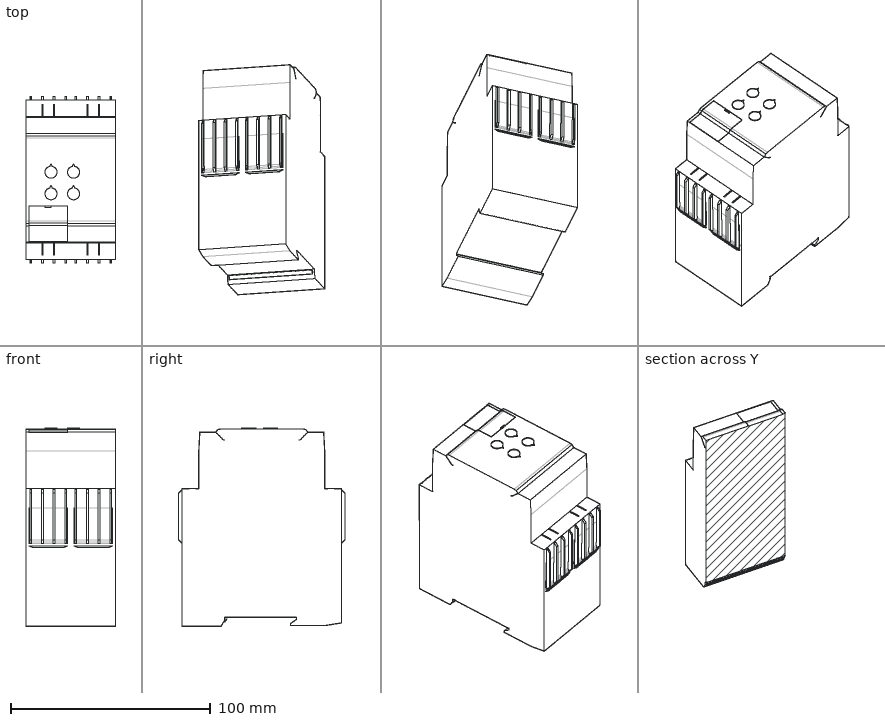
import cadquery as cq

width = 45.0
half_width = width / 2
base_half_depth = 40.0
shoulder_z = 69.0

upper_half_depth = 31.6
upper_top_half_depth = 31.1
draft_z = 88.0
upper_top_z = 97.4

cap_top_z = 99.0
cap_flat_half_depth = 20.8
cap_bevel_half_depth = 22.0
cap_bevel_z = 98.7
cap_base_half_depth = 23.2

rail_z = 4.5
latch_foot_z = 0.35
latch_heel_z = 1.7
latch_heel_y = 31.7
latch_tip_y = 14.35
latch_tip_z = 1.4
latch_root_y = 17.3
latch_root_z = 3.5
fixed_wall_y = -18.65
fixed_wall_z = 3.0
fixed_foot_y = -20.35
hook_tip_y = -17.3
hook_top_z = 3.8
hook_bottom_z = 2.1
hook_side_inset = 1.0

block_center_x = 11.3
outer_rib_offset = 8.8
inner_rib_offset = 2.9
outer_rib_width = 0.8
inner_rib_width = 1.1
rib_tip_depth = 83.56 / 2
rib_root_top_z = 68.6
rib_tip_top_z = 66.8
rib_tip_bottom_z = 43.4
rib_root_bottom_z = 41.6

recess_width = 19.4
recess_top_z = 59.3
recess_depth = 0.3
recess_step_depth = 0.15
recess_step_z = 42.4

groove_top_width = 19.4
groove_bottom_width = 15.6
groove_top_z = 40.4
groove_bottom_z = 39.5
groove_depth = 0.3

fin_outer_depth = 37.6
fin_width = 0.5
fin_height = 0.2

cover_left_x = -21.0
cover_right_x = -1.7
cover_back_y = -13.1
cover_front_y = -30.9
cover_depth = 0.2
notch_center_x = (cover_left_x + cover_right_x) / 2
notch_width = 3.0
notch_length = 0.8
notch_depth = 0.5

dial_radius = 3.0
dial_height = 0.4
dial_spacing_x = 11.3
dial_spacing_y = 10.85
dial_columns = 2
dial_rows = 2
dial_first_x = -9.9
dial_first_y = -7.05
pointer_reach = 4.2
pointer_half_width = 0.6

seam_drop = 4.0
seam_width = 0.12
seam_depth = 0.1
seam_tail = 0.6

overlap = 0.5
sides = (-1, 1)


def extrude_along_x(points, x_start, length):
    """Extrude a closed (y, z) outline along +X from x_start."""
    plane = cq.Workplane("YZ", origin=(x_start, 0, 0))
    return plane.polyline(points).close().extrude(length)


def upper_outline(side):
    """Shoulder-to-cap corner points of one long side, from the bottom up."""
    return [
        (side * base_half_depth, shoulder_z),
        (side * upper_half_depth, shoulder_z),
        (side * upper_half_depth, draft_z),
        (side * upper_top_half_depth, upper_top_z),
        (side * cap_base_half_depth, upper_top_z),
        (side * cap_bevel_half_depth, cap_bevel_z),
        (side * cap_flat_half_depth, cap_top_z),
    ]


def make_housing():
    underside = [
        (base_half_depth, latch_heel_z),
        (latch_heel_y, latch_foot_z),
        (latch_tip_y, latch_foot_z),
        (latch_tip_y, latch_tip_z),
        (latch_root_y, latch_root_z),
        (latch_root_y, rail_z),
        (fixed_wall_y, rail_z),
        (fixed_wall_y, fixed_wall_z),
        (fixed_foot_y, 0),
        (-base_half_depth, 0),
    ]
    outline = underside + upper_outline(-1) + upper_outline(1)[::-1]
    return extrude_along_x(outline, -half_width, width)


def make_rail_hook():
    outline = [
        (hook_tip_y, hook_top_z),
        (fixed_wall_y - overlap, hook_top_z),
        (fixed_wall_y - overlap, hook_bottom_z),
        (fixed_wall_y, hook_bottom_z),
    ]
    return extrude_along_x(outline, -half_width + hook_side_inset, width - 2 * hook_side_inset)


def make_rib(side, center_x, rib_width):
    root = base_half_depth - recess_depth - overlap
    outline = [
        (side * root, rib_root_top_z),
        (side * base_half_depth, rib_root_top_z),
        (side * rib_tip_depth, rib_tip_top_z),
        (side * rib_tip_depth, rib_tip_bottom_z),
        (side * base_half_depth, rib_root_bottom_z),
        (side * root, rib_root_bottom_z),
    ]
    return extrude_along_x(outline, center_x - rib_width / 2, rib_width)


def make_block_recess(side, center_x):
    floor = base_half_depth - recess_depth
    outline = [
        (side * base_half_depth, recess_top_z),
        (side * floor, rib_tip_bottom_z),
        (side * (base_half_depth - recess_step_depth), recess_step_z),
        (side * base_half_depth, rib_root_bottom_z),
    ]
    return extrude_along_x(outline, center_x - recess_width / 2, recess_width)


def make_block_groove(side, center_x):
    outline = [
        (center_x - groove_top_width / 2, groove_top_z),
        (center_x + groove_top_width / 2, groove_top_z),
        (center_x + groove_bottom_width / 2, groove_bottom_z),
        (center_x - groove_bottom_width / 2, groove_bottom_z),
    ]
    plane = cq.Workplane("XZ", origin=(0, side * base_half_depth, 0))
    return plane.polyline(outline).close().extrude(side * groove_depth)


def make_fin(side, center_x):
    middle = (upper_half_depth + fin_outer_depth) / 2
    plane = cq.Workplane("YZ", origin=(center_x - fin_width / 2, 0, 0))
    return (
        plane.moveTo(side * upper_half_depth, shoulder_z - overlap)
        .lineTo(side * upper_half_depth, shoulder_z)
        .threePointArc((side * middle, shoulder_z + fin_height), (side * fin_outer_depth, shoulder_z))
        .lineTo(side * fin_outer_depth, shoulder_z - overlap)
        .close()
        .extrude(fin_width)
    )


def make_cover_recess():
    """A layer of even thickness below the cap, its bevel and the front ledge."""
    surface = [
        (cover_back_y, cap_top_z),
        (-cap_flat_half_depth, cap_top_z),
        (-cap_bevel_half_depth, cap_bevel_z),
        (-cap_base_half_depth, upper_top_z),
        (cover_front_y, upper_top_z),
    ]
    floor = [
        (cover_back_y, cap_top_z - cover_depth),
        (-cap_flat_half_depth + cover_depth, cap_top_z - cover_depth),
        (-cap_bevel_half_depth + cover_depth, cap_bevel_z - cover_depth),
        (-cap_base_half_depth + cover_depth, upper_top_z - cover_depth),
        (cover_front_y, upper_top_z - cover_depth),
    ]
    return extrude_along_x(surface + floor[::-1], cover_left_x, cover_right_x - cover_left_x)


def make_cover_notch():
    return cq.Workplane("XY").box(notch_width, notch_length, notch_depth).translate(
        (notch_center_x, cover_back_y - notch_length / 2, cap_top_z - notch_depth / 2)
    )


def make_dial(x, y):
    plane = cq.Workplane("XY", origin=(x, y, cap_top_z - overlap))
    height = dial_height + overlap
    disc = plane.circle(dial_radius).extrude(height)
    pointer_outline = [
        (-pointer_half_width, 0),
        (pointer_half_width, 0),
        (pointer_half_width, dial_radius),
        (0, pointer_reach),
        (-pointer_half_width, dial_radius),
    ]
    return disc.union(plane.polyline(pointer_outline).close().extrude(height))


def make_seam(side, x_start):
    inner_y = cap_base_half_depth - seam_drop
    bottom_z = upper_top_z - seam_drop
    outline = [
        (side * cap_base_half_depth, upper_top_z),
        (side * inner_y, bottom_z),
        (side * (inner_y - seam_tail), bottom_z),
        (side * (inner_y - seam_tail), bottom_z + seam_width),
        (side * inner_y, bottom_z + seam_width),
        (side * (cap_base_half_depth - seam_width), upper_top_z),
    ]
    return extrude_along_x(outline, x_start, seam_depth)


result = make_housing().union(make_rail_hook())

for side in sides:
    for block in sides:
        center_x = block * block_center_x
        result = result.cut(make_block_recess(side, center_x))
        result = result.cut(make_block_groove(side, center_x))
        for rib in sides:
            inner_x = center_x + rib * inner_rib_offset
            outer_x = center_x + rib * outer_rib_offset
            result = result.union(make_rib(side, inner_x, inner_rib_width))
            result = result.union(make_rib(side, outer_x, outer_rib_width))
            result = result.union(make_fin(side, inner_x))

    for x_start in (-half_width, half_width - seam_depth):
        result = result.cut(make_seam(side, x_start))

result = result.cut(make_cover_recess()).cut(make_cover_notch())

for column in range(dial_columns):
    for row in range(dial_rows):
        dial_x = dial_first_x + column * dial_spacing_x
        dial_y = dial_first_y + row * dial_spacing_y
        result = result.union(make_dial(dial_x, dial_y))